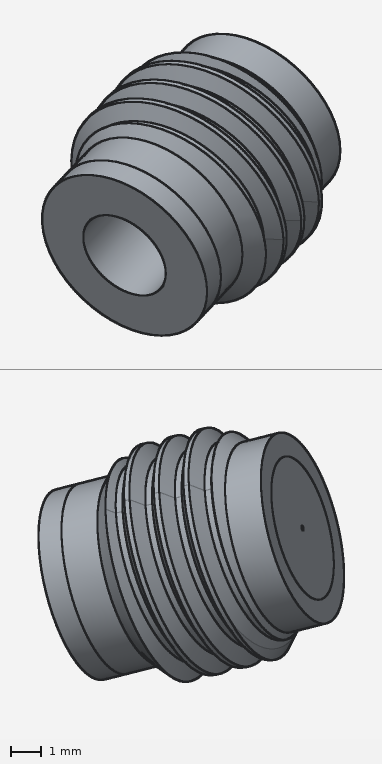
import cadquery as cq
import math

total_length = 7.94
body_radius = 3.175
flange_thickness = 0.825
plain_end_length = 1.28

crest_diameter = 7.82
crest_radius = crest_diameter / 2
root_radius = 3.37
pitch = 1.055
root_flat = 0.24
flank_angle = 30.0
groove_center_y = 4.03
cut_clearance = 0.08

stem_radius = 2.38
bore_radius = 1.59
orifice_radius = 0.08
orifice_wall = flange_thickness

thread_start = flange_thickness + plain_end_length
thread_end = total_length - plain_end_length
cone_length = crest_radius - body_radius


def groove_turn(start_y):
    """One full turn of the groove cutter, starting on the +X side and open past the crest."""
    outer_radius = crest_radius + cut_clearance
    half_root = root_flat / 2
    half_mouth = half_root + (outer_radius - root_radius) * math.tan(math.radians(flank_angle))
    path = cq.Wire.makeHelix(pitch, pitch, root_radius)
    turn = (
        cq.Workplane("XZ")
        .polyline([
            (root_radius, -half_root),
            (outer_radius, -half_mouth),
            (outer_radius, half_mouth),
            (root_radius, half_root),
        ])
        .close()
        .sweep(cq.Workplane(path), isFrenet=True)
    )
    return turn.rotate((0, 0, 0), (1, 0, 0), -90).translate((0, start_y, 0))


def make_housing():
    """Threaded sleeve with plain ends and a through hole for the insert stem."""
    blank = (
        cq.Workplane("XY")
        .polyline([
            (stem_radius, flange_thickness),
            (body_radius, flange_thickness),
            (body_radius, thread_start),
            (crest_radius, thread_start + cone_length),
            (crest_radius, thread_end - cone_length),
            (body_radius, thread_end),
            (body_radius, total_length),
            (stem_radius, total_length),
        ])
        .close()
        .revolve(360, (0, 0, 0), (0, 1, 0))
    )
    first_turn = math.floor((thread_start - groove_center_y) / pitch)
    last_turn = math.floor((thread_end - groove_center_y) / pitch)
    threaded = blank
    for turn in range(first_turn, last_turn + 1):
        threaded = threaded.cut(groove_turn(groove_center_y + turn * pitch))
    return threaded


def make_insert():
    """Flanged stem with a deep bore that ends at a thin central orifice."""
    bore_end = total_length - orifice_wall
    return (
        cq.Workplane("XY")
        .polyline([
            (bore_radius, 0),
            (body_radius, 0),
            (body_radius, flange_thickness),
            (stem_radius, flange_thickness),
            (stem_radius, total_length),
            (orifice_radius, total_length),
            (orifice_radius, bore_end),
            (bore_radius, bore_end),
        ])
        .close()
        .revolve(360, (0, 0, 0), (0, 1, 0))
    )


housing = make_housing()
insert = make_insert()

result = cq.Compound.makeCompound([housing.solids().val(), insert.val()])